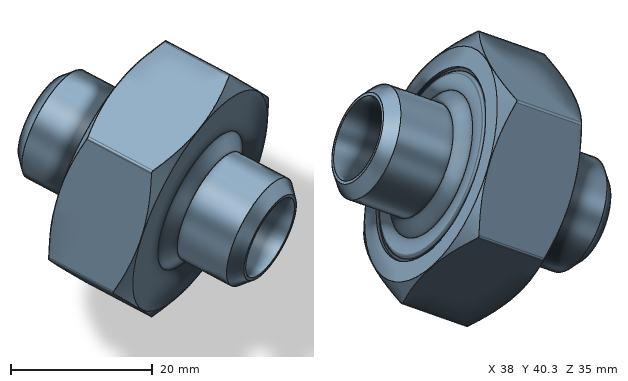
import cadquery as cq
import math

overall_length = 38.0

across_corners = 40.25
corner_radius = 0.5
corner_loss = corner_radius * (1 / math.cos(math.radians(30)) - 1)
sharp_across_corners = across_corners + 2 * corner_loss
nut_width = 13.97
nut_offset = 0.25
nut_face_diameter = 34.85
nut_chamfer_angle = 30.0

pipe_diameter = 17.15
bore_diameter = 12.65
bevel = 1.77
root_diameter = 21.9
root_length = 1.75

insert_diameter = 27.85
gap_outer_diameter = 28.83
gap_depth = 0.5
insert_edge_radius = gap_depth

pipe_start = -overall_length / 2
pipe_end = overall_length / 2
nut_start = nut_offset - nut_width / 2
nut_end = nut_offset + nut_width / 2


def make_nut():
    """Hexagon with rounded corners, trimmed by a cone at each end."""
    hexagon = (
        cq.Workplane("YZ", origin=(nut_start, 0, 0))
        .polygon(6, sharp_across_corners)
        .extrude(nut_width)
        .edges("|X")
        .fillet(corner_radius)
    )
    face_radius = nut_face_diameter / 2
    envelope_radius = sharp_across_corners / 2
    chamfer_length = (envelope_radius - face_radius) * math.tan(math.radians(nut_chamfer_angle))
    envelope = (
        cq.Workplane("XY")
        .moveTo(nut_start, 0)
        .lineTo(nut_start, face_radius)
        .lineTo(nut_start + chamfer_length, envelope_radius)
        .lineTo(nut_end - chamfer_length, envelope_radius)
        .lineTo(nut_end, face_radius)
        .lineTo(nut_end, 0)
        .close()
        .revolve(360, (0, 0, 0), (1, 0, 0))
    )
    return hexagon.intersect(envelope)


def make_pipe():
    """Bevelled pipe with a conical flare running into each nut face."""
    pipe_radius = pipe_diameter / 2
    root_radius = root_diameter / 2
    return (
        cq.Workplane("XY")
        .moveTo(pipe_start, 0)
        .lineTo(pipe_start, pipe_radius - bevel)
        .lineTo(pipe_start + bevel, pipe_radius)
        .lineTo(nut_start - root_length, pipe_radius)
        .lineTo(nut_start, root_radius)
        .lineTo(nut_end, root_radius)
        .lineTo(nut_end + root_length, pipe_radius)
        .lineTo(pipe_end - bevel, pipe_radius)
        .lineTo(pipe_end, pipe_radius - bevel)
        .lineTo(pipe_end, 0)
        .close()
        .revolve(360, (0, 0, 0), (1, 0, 0))
    )


def make_ring_gap():
    """Narrow ring groove whose inner edge is rounded over."""
    insert_radius = insert_diameter / 2
    gap_outer_radius = gap_outer_diameter / 2
    return (
        cq.Workplane("XY")
        .moveTo(nut_start, insert_radius - insert_edge_radius)
        .radiusArc((nut_start + gap_depth, insert_radius), insert_edge_radius)
        .lineTo(nut_start + gap_depth, gap_outer_radius)
        .lineTo(nut_start, gap_outer_radius)
        .close()
        .revolve(360, (0, 0, 0), (1, 0, 0))
    )


def make_bore():
    return (
        cq.Workplane("YZ", origin=(pipe_start, 0, 0))
        .circle(bore_diameter / 2)
        .extrude(overall_length)
    )


result = make_nut().union(make_pipe()).cut(make_ring_gap()).cut(make_bore())